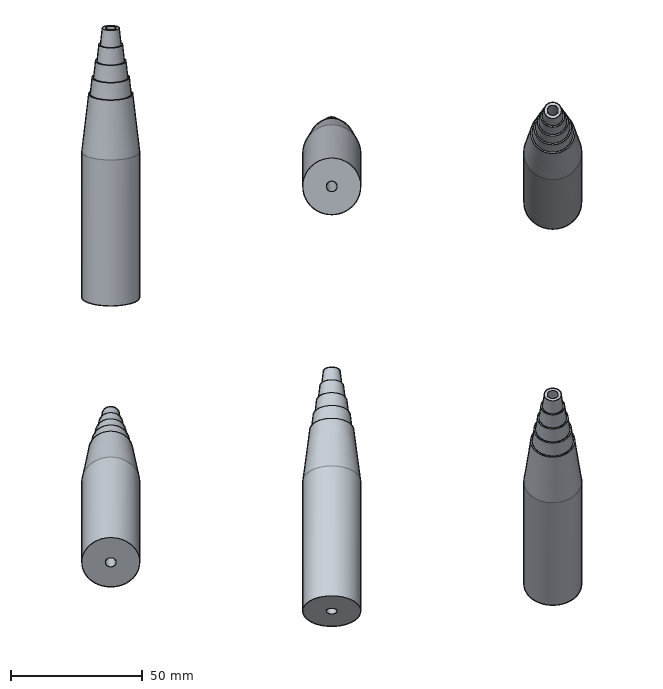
import cadquery as cq

total_length = 107.0
body_diameter = 22.0
body_length = 58.0
bore_diameter = 4.1

ring_count = 4
ring_length = 6.5
tip_diameter = 6.5
ring_pitch_diameter = 2.6
ring_taper_diameter = 1.4

cone_top_diameter = tip_diameter + ring_count * ring_pitch_diameter
cone_top_z = total_length - ring_count * ring_length


def half_profile():
    """Outer half section, as (radius, height) points from the base to the tip."""
    points = [
        (0, 0),
        (body_diameter / 2, 0),
        (body_diameter / 2, body_length),
        (cone_top_diameter / 2, cone_top_z),
    ]
    for ring in reversed(range(ring_count)):
        top_z = total_length - ring * ring_length
        top_diameter = tip_diameter + ring * ring_pitch_diameter
        bottom_diameter = top_diameter + ring_taper_diameter
        points.append((bottom_diameter / 2, top_z - ring_length))
        points.append((top_diameter / 2, top_z))
    points.append((0, total_length))
    return points


outer = cq.Workplane("XZ").polyline(half_profile()).close().revolve(360, (0, 0), (0, 1))

bore = cq.Workplane("XY").circle(bore_diameter / 2).extrude(total_length)

result = outer.cut(bore)